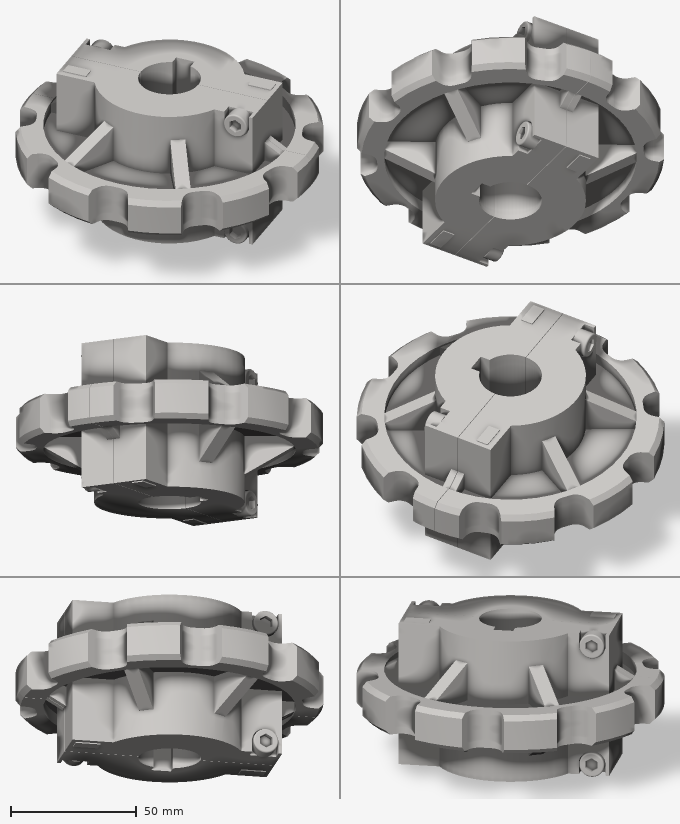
import cadquery as cq
import math

tip_radius = 61.2
rim_height = 15.9
rim_inner_radius = 50.2
tip_chamfer = 2.0
tooth_count = 10
notch_floor_radius = 53.2
notch_floor_half_width = 1.7
notch_corner_radius = 5.4
notch_flank_angle = 24.0

web_thickness = 6.1
rib_count = 6
rib_width = 6.0
rib_hub_z = 18.6
rib_rim_z = 7.0

hub_radius = 30.0
hub_height = 58.7
ear_half_length = 42.6
ear_half_width = 15.0
bore_radius = 12.5
keyway_width = 8.0
keyway_top = 15.8
split_gap = 0.2

screw_x = 35.8
screw_z = 24.7
head_diameter = 10.0
head_height = 6.0
head_fillet = 0.6
head_seat = 10.5
head_pocket_width = 10.8
shank_diameter = 6.0
socket_across_flats = 5.0
socket_depth = 3.0
nut_width = 10.0
nut_thickness = 5.0
nut_inner_face = 7.5
nut_slot_play = 0.1

nut_outer_face = nut_inner_face + nut_thickness
hub_top = hub_height / 2
cut_margin = 6.1


def make_rim_blank():
    """Disc with both outer edges chamfered, before the notches are cut."""
    return (
        cq.Workplane("XY")
        .circle(tip_radius)
        .extrude(rim_height / 2, both=True)
        .faces("|Z")
        .edges()
        .chamfer(tip_chamfer)
    )


def make_notch():
    """Gap between two teeth on the +X axis: flat floor, round corners, straight flanks."""
    flank = math.radians(notch_flank_angle)
    turn = math.pi / 2 - flank
    corner_x = notch_floor_radius + notch_corner_radius

    def corner_point(angle):
        """Distance along and across the notch after turning by angle from the floor."""
        along = corner_x - notch_corner_radius * math.cos(angle)
        across = notch_floor_half_width + notch_corner_radius * math.sin(angle)
        return along, across

    mid_x, mid_y = corner_point(turn / 2)
    end_x, end_y = corner_point(turn)
    open_x = tip_radius + cut_margin
    open_y = end_y + (open_x - end_x) * math.tan(flank)
    return (
        cq.Workplane("XY")
        .moveTo(notch_floor_radius, -notch_floor_half_width)
        .lineTo(notch_floor_radius, notch_floor_half_width)
        .threePointArc((mid_x, mid_y), (end_x, end_y))
        .lineTo(open_x, open_y)
        .lineTo(open_x, -open_y)
        .lineTo(end_x, -end_y)
        .threePointArc((mid_x, -mid_y), (notch_floor_radius, -notch_floor_half_width))
        .close()
        .extrude(rim_height, both=True)
    )


def make_toothed_web():
    """Toothed rim joined by a thin web, recessed on both faces."""
    body = make_rim_blank()
    pitch = 360.0 / tooth_count
    notch = make_notch()
    for i in range(tooth_count):
        body = body.cut(notch.rotate((0, 0, 0), (0, 0, 1), (i + 0.5) * pitch))
    recess = (
        cq.Workplane("XY")
        .workplane(offset=web_thickness / 2)
        .circle(rim_inner_radius)
        .extrude(rim_height)
    )
    return body.cut(recess).cut(recess.mirror("XY"))


def make_rib():
    """Rib along +X, sloping from the hub to the rim on both sides of the web."""
    root_x = hub_radius - rib_width / 2
    foot_x = (rim_inner_radius + notch_floor_radius) / 2
    return (
        cq.Workplane("XZ")
        .polyline([
            (root_x, -rib_hub_z),
            (root_x, rib_hub_z),
            (hub_radius, rib_hub_z),
            (rim_inner_radius, rib_rim_z),
            (foot_x, rib_rim_z),
            (foot_x, -rib_rim_z),
            (rim_inner_radius, -rib_rim_z),
            (hub_radius, -rib_hub_z),
        ])
        .close()
        .extrude(rib_width / 2, both=True)
    )


def make_hub():
    """Round hub with a rectangular clamping ear on each side."""
    ears = cq.Workplane("XY").box(2 * ear_half_length, 2 * ear_half_width, hub_height)
    return cq.Workplane("XY").circle(hub_radius).extrude(hub_top, both=True).union(ears)


def make_bore():
    """Round bore with a keyway on the +Y side."""
    keyway = (
        cq.Workplane("XY")
        .center(0, keyway_top / 2)
        .rect(keyway_width, keyway_top)
        .extrude(hub_top, both=True)
    )
    return cq.Workplane("XY").circle(bore_radius).extrude(hub_top, both=True).union(keyway)


def cylinder_along_y(diameter, start_y, end_y):
    """Cylinder on the axis of the upper screw at +X."""
    return (
        cq.Workplane("XZ", origin=(screw_x, start_y, screw_z))
        .circle(diameter / 2)
        .extrude(start_y - end_y)
    )


def make_screw():
    """Socket head cap screw at +X, upper side, with its head towards -Y."""
    head_face = -head_seat - head_height
    head = cylinder_along_y(head_diameter, -head_seat, head_face)
    head = head.faces("<Y").edges().fillet(head_fillet)
    socket = (
        cq.Workplane("XZ", origin=(screw_x, head_face, screw_z))
        .polygon(6, socket_across_flats, circumscribed=True)
        .extrude(-socket_depth)
    )
    return head.cut(socket).union(cylinder_along_y(shank_diameter, -head_seat, nut_outer_face))


def make_nut():
    """Square nut on the far end of the same screw."""
    nut = cq.Workplane("XY", origin=(screw_x, nut_inner_face + nut_thickness / 2, screw_z))
    nut = nut.box(nut_width, nut_thickness, nut_width)
    return nut.cut(cylinder_along_y(shank_diameter, nut_inner_face, nut_outer_face))


def make_screw_cutout():
    """Space for one screw and nut: open head pocket, shank hole and nut slot."""
    open_height = hub_top + cut_margin - screw_z
    pocket_end = -ear_half_width - cut_margin
    pocket_length = -head_seat - pocket_end
    head_bottom = cylinder_along_y(head_pocket_width, -head_seat, pocket_end)
    head_opening = cq.Workplane("XY").box(
        head_pocket_width, pocket_length, open_height, centered=(True, False, False)
    ).translate((screw_x, pocket_end, screw_z))
    shank_hole = cylinder_along_y(shank_diameter, -head_seat, nut_outer_face)
    nut_slot = cq.Workplane("XY").box(
        nut_width, nut_thickness + nut_slot_play, nut_width / 2 + open_height, centered=(True, False, False)
    ).translate((screw_x, nut_inner_face - nut_slot_play, screw_z - nut_width / 2))
    return head_bottom.union(head_opening).union(shank_hole).union(nut_slot)


def clamp_copies(shape):
    """The four places of a clamp part: both ears, above and below the web."""
    copies = []
    for upper in (shape, shape.mirror("XY")):
        for angle in (0, 180):
            copies.append(upper.rotate((0, 0, 0), (0, 0, 1), angle))
    return copies


def make_whole_sprocket():
    """Sprocket before it is split into two halves."""
    body = make_toothed_web().union(make_hub())
    rib = make_rib()
    for i in range(rib_count):
        body = body.union(rib.rotate((0, 0, 0), (0, 0, 1), i * 360.0 / rib_count))
    body = body.cut(make_bore())
    for cutout in clamp_copies(make_screw_cutout()):
        body = body.cut(cutout)
    return body


def make_half(whole, side):
    """Half of the sprocket on the +Y side (side = 1) or the -Y side (side = -1)."""
    depth = tip_radius + cut_margin
    keep = cq.Workplane("XY").box(2 * depth, depth, 2 * depth)
    return whole.intersect(keep.translate((0, side * (depth + split_gap) / 2, 0)))


whole_sprocket = make_whole_sprocket()
halves = [make_half(whole_sprocket, side) for side in (1, -1)]
screws = clamp_copies(make_screw())
nuts = clamp_copies(make_nut())

result = cq.Compound.makeCompound([body.val() for body in halves + screws + nuts])